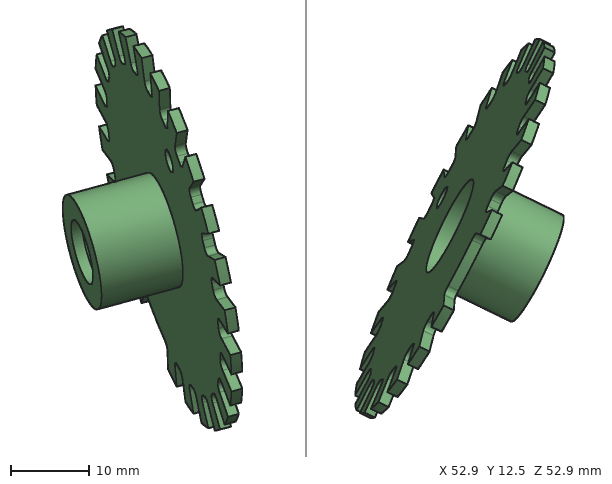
import cadquery as cq
import math

tooth_pitches = 24
pitch_angle = 360 / tooth_pitches
slot_angle = pitch_angle / 2
tip_radius = 26.5
root_radius = 22.0
root_fillet = 1.0
disc_thickness = 1.5
cutter_overshoot = 2.65
missing_tooth_angle = 180 + pitch_angle / 2

hub_diameter = 15.2
bore_diameter = 8.5
recess_diameter = 13.2
lip_length = 1.5
overall_depth = 12.5
hub_length = overall_depth - disc_thickness

hole_diameter = 3.0
hole_circle_radius = 16.85
hole_angle = pitch_angle / 2


def polar(radius, angle):
    """Point (x, z) at an angle in degrees from +Z toward +X."""
    return (
        radius * math.sin(math.radians(angle)),
        radius * math.cos(math.radians(angle)),
    )


def gap_cutter(center_angle, width_angle):
    """Gap between teeth with radial sides, an arc floor and rounded floor corners."""
    start = center_angle - width_angle / 2
    end = center_angle + width_angle / 2
    outer_radius = tip_radius + cutter_overshoot
    return (
        cq.Workplane("XZ")
        .moveTo(*polar(root_radius, start))
        .threePointArc(polar(root_radius, center_angle), polar(root_radius, end))
        .lineTo(*polar(outer_radius, end))
        .threePointArc(polar(outer_radius, center_angle), polar(outer_radius, start))
        .close()
        .extrude(disc_thickness)
        .edges("|Y")
        .fillet(root_fillet)
    )


disc = cq.Workplane("XZ").circle(tip_radius).extrude(disc_thickness)

wide_gap_angle = pitch_angle + slot_angle
for index in range(tooth_pitches):
    gap_angle = index * pitch_angle
    if abs(gap_angle - missing_tooth_angle) > pitch_angle:
        disc = disc.cut(gap_cutter(gap_angle, slot_angle))
disc = disc.cut(gap_cutter(missing_tooth_angle, wide_gap_angle))

hub = (
    cq.Workplane("XZ", origin=(0, -disc_thickness, 0))
    .circle(hub_diameter / 2)
    .extrude(hub_length)
)
bore = cq.Workplane("XZ").circle(bore_diameter / 2).extrude(overall_depth)
recess = cq.Workplane("XZ").circle(recess_diameter / 2).extrude(overall_depth - lip_length)
locating_hole = (
    cq.Workplane("XZ")
    .center(*polar(hole_circle_radius, hole_angle))
    .circle(hole_diameter / 2)
    .extrude(disc_thickness)
)

result = disc.union(hub).cut(bore).cut(recess).cut(locating_hole)